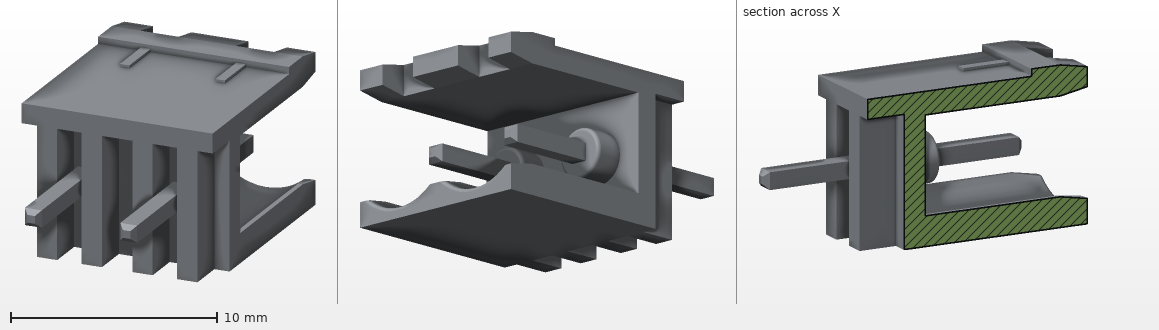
import cadquery as cq
import math

PIN_PITCH = 5.08
PIN_COUNT = 2
PIN_HEIGHT = 3.75
PIN_WIDTH = 0.9
PIN_TAIL = 4.5
PIN_FRONT = 9.7
PIN_TIP = 0.25

WIDTH = PIN_COUNT * PIN_PITCH
DEPTH = 12.1
HEIGHT = 8.2
ROOF_HEIGHT = 7.83
WALL_FRONT = 3.2
UPPER_ARM_BOTTOM = 6.62
LOWER_ARM_TOP = 1.57
LIP_LENGTH = 3.1
TAPER_LENGTH = 1.5
TAPER_DROP = 0.28

CHANNEL_DEPTH = 2.0
CHANNEL_TOP = 6.8
PIN_CHANNEL_WIDTH = 1.3
FIN_WIDTH = 1.08

CRADLE_LEDGE = 0.25
CRADLE_HALF_WIDTH = PIN_PITCH / 2 - CRADLE_LEDGE
CRADLE_RADIUS = math.hypot(CRADLE_HALF_WIDTH, PIN_HEIGHT - LOWER_ARM_TOP)
CRADLE_ROUND = 0.2

COLLAR_DIAMETER = 2.6
COLLAR_LENGTH = 1.5
COLLAR_FILLET = 0.2
NOTCH_WIDTH = 2.05
RIDGE_WIDTH = 0.5
RIDGE_LENGTH = 2.5
RIDGE_TOP = 8.0

PIN_XS = [(i - (PIN_COUNT - 1) / 2) * PIN_PITCH for i in range(PIN_COUNT)]


def box(x_center, width, y_min, y_max, z_min, z_max):
    """Box centred on x_center between the given y and z limits."""
    blank = cq.Workplane("XY").box(width, y_max - y_min, z_max - z_min, centered=(True, False, False))
    return blank.translate((x_center, y_min, z_min))


def housing_body():
    """C-shaped profile with tapered arm tips, extruded across the width."""
    taper_start = DEPTH - TAPER_LENGTH
    lip_start = DEPTH - LIP_LENGTH
    profile = [
        (0, 0),
        (DEPTH, 0),
        (DEPTH, LOWER_ARM_TOP - TAPER_DROP),
        (taper_start, LOWER_ARM_TOP),
        (WALL_FRONT, LOWER_ARM_TOP),
        (WALL_FRONT, UPPER_ARM_BOTTOM),
        (taper_start, UPPER_ARM_BOTTOM),
        (DEPTH, UPPER_ARM_BOTTOM + TAPER_DROP),
        (DEPTH, HEIGHT - TAPER_DROP),
        (taper_start, HEIGHT),
        (lip_start, HEIGHT),
        (lip_start, ROOF_HEIGHT),
        (0, ROOF_HEIGHT),
    ]
    return cq.Workplane("YZ").polyline(profile).close().extrude(WIDTH / 2, both=True)


def rear_channels():
    """Channels around the fins: one at each pin, one at each boundary between pin positions."""
    boundary_width = PIN_PITCH - PIN_CHANNEL_WIDTH - 2 * FIN_WIDTH
    channels = cq.Workplane("XY")
    for x in PIN_XS:
        channels = channels.add(box(x, PIN_CHANNEL_WIDTH, 0, CHANNEL_DEPTH, 0, CHANNEL_TOP))
    for i in range(PIN_COUNT + 1):
        boundary_x = i * PIN_PITCH - WIDTH / 2
        channels = channels.add(box(boundary_x, boundary_width, 0, CHANNEL_DEPTH, 0, CHANNEL_TOP))
    return channels.combine()


def cradle_cutter(x):
    """Round cutter about the pin axis, flaring to a rounded front edge, limited to the lower arm."""
    round_start = DEPTH - CRADLE_ROUND
    arc_offset = CRADLE_ROUND * math.sqrt(0.5)
    bore = (
        cq.Workplane("XY")
        .moveTo(0, WALL_FRONT)
        .lineTo(CRADLE_RADIUS, WALL_FRONT)
        .lineTo(CRADLE_RADIUS, round_start)
        .threePointArc(
            (CRADLE_RADIUS + CRADLE_ROUND - arc_offset, round_start + arc_offset),
            (CRADLE_RADIUS + CRADLE_ROUND, DEPTH),
        )
        .lineTo(0, DEPTH)
        .close()
        .revolve(360, (0, 0, 0), (0, 1, 0))
        .translate((x, 0, PIN_HEIGHT))
    )
    lower_arm_zone = box(x, PIN_PITCH, WALL_FRONT, DEPTH, 0, LOWER_ARM_TOP)
    return bore.intersect(lower_arm_zone)


def lip_notch(x):
    """Slot through the tapered tip of the upper arm above a pin."""
    return box(x, NOTCH_WIDTH, DEPTH - TAPER_LENGTH, DEPTH, UPPER_ARM_BOTTOM, HEIGHT)


def roof_ridge(x):
    """Low ridge running rearwards from the lip, rooted in the roof."""
    lip_start = DEPTH - LIP_LENGTH
    return box(x, RIDGE_WIDTH, lip_start - RIDGE_LENGTH, lip_start, UPPER_ARM_BOTTOM, RIDGE_TOP)


def collar(x):
    """Round-edged collar where a pin leaves the rear wall, rooted in that wall."""
    root = CHANNEL_DEPTH
    length = WALL_FRONT + COLLAR_LENGTH - root
    blank = cq.Workplane("XZ").circle(COLLAR_DIAMETER / 2).extrude(-length)
    blank = blank.translate((x, root, PIN_HEIGHT))
    return blank.faces(">Y").edges().fillet(COLLAR_FILLET)


def pin(x):
    """Square pin with chamfered tips, passing through the rear wall."""
    half = PIN_WIDTH / 2
    blank = box(x, PIN_WIDTH, -PIN_TAIL, PIN_FRONT, PIN_HEIGHT - half, PIN_HEIGHT + half)
    return blank.faces("<Y or >Y").edges().chamfer(PIN_TIP)


result = housing_body().cut(rear_channels())
for pin_x in PIN_XS:
    result = result.cut(cradle_cutter(pin_x)).cut(lip_notch(pin_x))
    result = result.union(roof_ridge(pin_x)).union(collar(pin_x)).union(pin(pin_x))